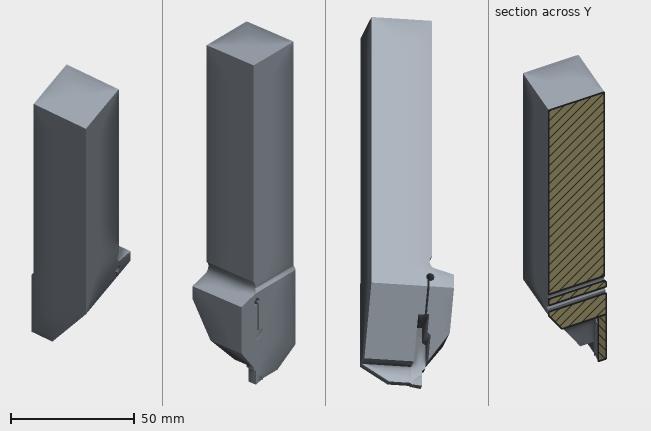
import cadquery as cq
import math

total_height = 150.0
shank_width = 25.0
shank_depth = 25.0
head_step = 1.0
head_width = shank_width + head_step
head_depth = 34.0
step_bottom_z = 43.0
step_top_z = 44.5

groove_radius = 3.0
groove_y = 27.0
groove_z = 45.6
jaw_top_angle = math.radians(15)
jaw_nose_z = 18.8
jaw_tip_z = 8.5

blade_thickness = 3.6
blade_bottom_z = 1.0
blade_chamfer_y = 11.4
block_bottom_z = 8.0
block_bottom_width = 10.0
taper_start_z = 34.8

slit_hole_radius = 1.6
slit_hole_y = 24.3
slit_hole_z = 38.8
slit_front_y = 23.1
slit_width = 0.9

insert_thickness = 3.9
insert_length = 25.0
insert_seat_y = 20.4
insert_rake_y = 24.9
insert_ridge_y = 26.2
insert_mid_z = insert_length / 2
end_relief = 0.52
ridge_half_length = 5.1
ridge_foot_half_length = 6.0
tip_length = 4.2
tip_depth = 4.0
side_relief = 0.5

YZ_AT_ZERO = cq.Workplane("YZ")


def make_insert_blank(thickness):
    """Insert outline, extruded from the -X face."""
    half_length = insert_length / 2
    seat_half_length = half_length - end_relief
    upper = [
        (insert_seat_y, seat_half_length),
        (insert_rake_y, half_length),
        (insert_rake_y, ridge_foot_half_length),
        (insert_ridge_y, ridge_half_length),
    ]
    lower = [(y, -z) for y, z in reversed(upper)]
    outline = YZ_AT_ZERO.center(0, insert_mid_z).polyline(upper + lower).close()
    return outline.extrude(thickness)


def make_tip_reliefs():
    """Side reliefs of the lower tip, growing from the rake face to the seat."""
    arc_middle = math.sqrt(0.5)
    sector = (
        YZ_AT_ZERO.moveTo(insert_rake_y, 0)
        .lineTo(insert_rake_y, tip_length)
        .threePointArc(
            (insert_rake_y - tip_depth * arc_middle, tip_length * arc_middle),
            (insert_rake_y - tip_depth, 0),
        )
        .close()
        .extrude(insert_thickness)
    )
    near_wedge = (
        cq.Workplane("XY")
        .polyline([(0, insert_rake_y), (side_relief, insert_seat_y), (0, insert_seat_y)])
        .close()
        .extrude(tip_length)
    )
    far_wedge = near_wedge.mirror("YZ").translate((insert_thickness, 0, 0))
    return [sector.intersect(near_wedge), sector.intersect(far_wedge)]


def make_insert():
    insert = make_insert_blank(insert_thickness)
    for relief in make_tip_reliefs():
        insert = insert.cut(relief)
        insert = insert.cut(relief.mirror("XY", (0, 0, insert_mid_z)))
    return insert


def make_side_profile():
    """Holder outline in the YZ plane, extruded over the head width."""
    tangent_y = groove_y - groove_radius * math.sin(jaw_top_angle)
    tangent_z = groove_z - groove_radius * math.cos(jaw_top_angle)
    jaw_top_z = tangent_z - (head_depth - tangent_y) * math.tan(jaw_top_angle)
    groove_end_z = groove_z + math.sqrt(groove_radius**2 - (groove_y - shank_depth) ** 2)
    return (
        YZ_AT_ZERO.moveTo(0, total_height)
        .lineTo(0, block_bottom_z)
        .lineTo(blade_chamfer_y, blade_bottom_z)
        .lineTo(insert_seat_y, blade_bottom_z)
        .lineTo(insert_seat_y, jaw_tip_z)
        .lineTo(insert_ridge_y, jaw_tip_z)
        .lineTo(head_depth, jaw_nose_z)
        .lineTo(head_depth, jaw_top_z)
        .lineTo(tangent_y, tangent_z)
        .threePointArc((groove_y - groove_radius, groove_z), (shank_depth, groove_end_z))
        .lineTo(shank_depth, total_height)
        .close()
        .extrude(head_width)
    )


def make_front_profile():
    """Holder outline in the XZ plane: stepped shank, tapered head and blade."""
    return (
        cq.Workplane("XZ")
        .polyline([
            (head_step, total_height),
            (head_width, total_height),
            (head_width, taper_start_z),
            (block_bottom_width, block_bottom_z),
            (blade_thickness, block_bottom_z),
            (blade_thickness, 0),
            (0, 0),
            (0, step_bottom_z),
            (head_step, step_top_z),
        ])
        .close()
        .extrude(-head_depth)
    )


def make_slit():
    """Slit from the insert pocket up to its round end, through the head."""
    hole = YZ_AT_ZERO.center(slit_hole_y, slit_hole_z).circle(slit_hole_radius).extrude(head_width)
    slot = cq.Workplane("XY").box(
        head_width, slit_width, slit_hole_z - insert_mid_z, centered=False
    ).translate((0, slit_front_y, insert_mid_z))
    return hole.union(slot)


def make_holder():
    holder = make_side_profile().intersect(make_front_profile())
    insert_pocket = make_insert_blank(head_width)
    return holder.cut(insert_pocket).cut(make_slit())


holder = make_holder()
insert = make_insert()

result = cq.Compound.makeCompound([holder.solids().val(), insert.solids().val()])